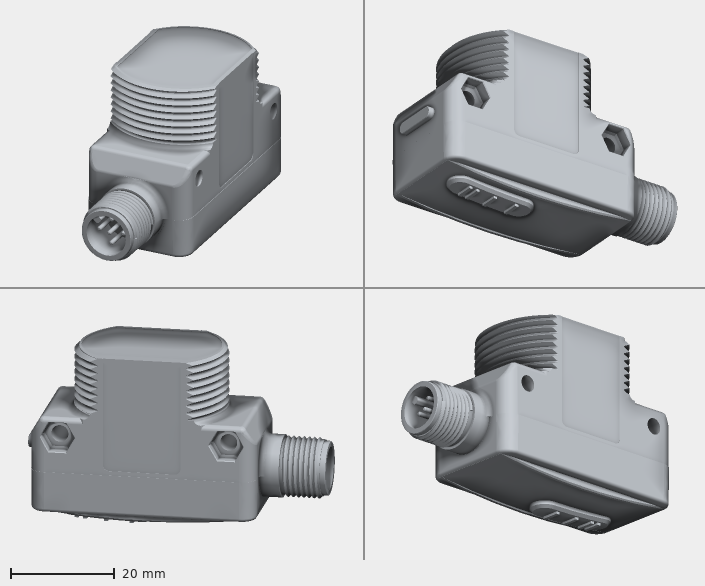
import cadquery as cq
import math


body_length = 44.2
half_length = body_length / 2
housing_width = 22.0
half_width = housing_width / 2
corner_radius = 3.0

shoulder_height = 11.0
slope_foot_height = 7.15
slope_run = 2.2
upper_edge_radius = 1.05

barrel_top = 23.4
barrel_crest = 14.95
barrel_root = 14.0
barrel_thread_length = 12.0
barrel_turns = 8
barrel_pitch = barrel_thread_length / barrel_turns
barrel_thread_start = 11.6
barrel_neck = 15.0
neck_fillet = 1.0
barrel_lead_in = 1.05
lens_radius = 13.55
lens_half_width = 10.0
lens_depth = 0.1

panel_width = 15.1
panel_bottom = 0.9
panel_corner_radius = 1.15
panel_depth = 0.1

hole_spacing = 33.0
hole_height = 7.1
hole_diameter = 3.3
nut_corner_width = 6.75
nut_depth = 2.85
nut_chamfer = 0.2
nut_floor_corner_width = 5.9
nut_floor_bevel = 0.4

button_width = 10.0
button_height = 2.5
button_center_height = 4.0
button_protrusion = 1.2
button_chamfer = 0.1

connector_height = 0.435
collar_radius = 6.1
collar_length = 3.8
collar_fillet = 1.05
connector_crest = 5.95
connector_root = 5.5
connector_thread_length = 7.1
connector_turns = 7
connector_pitch = connector_thread_length / connector_turns
connector_thread_start = 4.2
nose_start = 11.6
nose_radius = 5.3
nose_chamfer = 0.1
connector_length = 12.75
socket_radius = 4.2
socket_depth = 8.7
pin_radius = 0.45
pin_offset = 2.53
center_pin_setback = 1.15
outer_pin_setback = 2.1
pin_chamfer = 0.25
key_width = 1.4
key_inner_radius = 2.8
key_setback = 1.15
key_angle = 45
lip_radius = 6.7
lip_rise = 0.5
lip_depth = 0.95

cover_width = 22.15
cover_draft = 0.6
cover_depth = 8.1
cover_edge_radius = 0.7

bow_half_length = 21.5
bow_half_width = 8.95
bow_sag = 1.5
window_half_width = 8.0
window_sag = 1.15
rail_chamfer = 0.3

pad_x = -3.5
pad_width = 5.8
pad_y_max = 17.55
pad_y_min = -1.6
pad_drop = 1.0
pad_chamfer = 0.6
bar_places = [13.8, 12.1, 8.0, 3.0]
bar_width = 3.8
bar_length = 0.75
bar_height = 0.495

thread_bury = 0.1
embed = 0.3


def thread_ridge(root, crest, pitch, turns):
    """Right-handed triangular ridge around +Z, starting at Z = 0."""
    half_base = 0.48 * pitch
    foot = root - thread_bury
    path = cq.Wire.makeHelix(pitch, pitch * turns, root)
    profile = cq.Workplane("XZ").polyline([(foot, -half_base), (crest, 0), (foot, half_base)]).close()
    return profile.sweep(cq.Workplane(obj=path), isFrenet=True)


def make_shoulders():
    """Lower box of the housing with sloped ends and rounded upper edges."""
    slope_top = half_length - slope_run
    block = (
        cq.Workplane("YZ")
        .moveTo(-half_length, 0)
        .lineTo(-half_length, slope_foot_height)
        .lineTo(-slope_top, shoulder_height)
        .lineTo(slope_top, shoulder_height)
        .lineTo(half_length, slope_foot_height)
        .lineTo(half_length, 0)
        .close()
        .extrude(half_width, both=True)
        .edges("|Z")
        .fillet(corner_radius)
    )
    block = block.faces(">Z").edges("|Y").fillet(upper_edge_radius)
    middle_height = (slope_foot_height + shoulder_height) / 2
    slope_middle = half_length - slope_run / 2
    for side in (-1, 1):
        slope = block.faces(cq.NearestToPointSelector((0, side * slope_middle, middle_height)))
        block = slope.edges().fillet(upper_edge_radius)
    return block


def make_barrel():
    """Threaded barrel with a filleted foot, trimmed by two flats and a recessed lens face."""
    neck_top = shoulder_height + neck_fillet
    foot = barrel_neck + neck_fillet
    bend = neck_fillet * (1 - math.sqrt(0.5))
    core = (
        cq.Workplane("XZ")
        .moveTo(0, 0)
        .lineTo(foot, 0)
        .lineTo(foot, shoulder_height)
        .threePointArc((barrel_neck + bend, shoulder_height + bend), (barrel_neck, neck_top))
        .lineTo(barrel_root, neck_top)
        .lineTo(barrel_root, barrel_top)
        .lineTo(0, barrel_top)
        .close()
        .revolve(360, (0, 0, 0), (0, 1, 0))
    )
    flats = cq.Workplane("XY").rect(housing_width, body_length).extrude(2 * barrel_top, both=True)
    barrel = core.intersect(flats)
    half_turn = thread_ridge(barrel_root, barrel_crest, barrel_pitch, 0.5).intersect(flats)
    for step in range(2 * barrel_turns):
        height = barrel_thread_start + step * barrel_pitch / 2
        barrel = barrel.union(half_turn.rotate((0, 0, 0), (0, 0, 1), 180 * step).translate((0, 0, height)))
    envelope = cq.Workplane("XY").circle(foot).extrude(barrel_top)
    envelope = envelope.faces(">Z").chamfer(barrel_lead_in, foot - barrel_root + 0.05)
    lens_slab = cq.Workplane("XY").rect(2 * lens_half_width, body_length).extrude(lens_depth)
    lens = cq.Workplane("XY").circle(lens_radius).extrude(lens_depth).intersect(lens_slab)
    return barrel.intersect(envelope).cut(lens.translate((0, 0, barrel_top - lens_depth)))


def make_panel(side):
    """Shallow label recess in one flat side of the housing."""
    height = barrel_top - panel_bottom
    panel = (
        cq.Workplane("XY")
        .box(2 * panel_depth, panel_width, height, centered=(True, True, False))
        .edges("|X and <Z")
        .fillet(panel_corner_radius)
    )
    return panel.translate((side * half_width, 0, panel_bottom))


def make_cross_hole(y):
    """Hole along X with a hexagonal nut pocket in the -X side."""
    plane = cq.Workplane("YZ", origin=(-half_width, y, hole_height))
    hole = plane.circle(hole_diameter / 2).extrude(housing_width)
    wall_depth = nut_depth - nut_floor_bevel
    rim = plane.polygon(6, nut_corner_width + 2 * nut_chamfer).workplane(offset=nut_chamfer)
    rim = rim.polygon(6, nut_corner_width).loft()
    walls = plane.polygon(6, nut_corner_width).extrude(wall_depth)
    floor = plane.workplane(offset=wall_depth).polygon(6, nut_corner_width)
    floor = floor.workplane(offset=nut_floor_bevel).polygon(6, nut_floor_corner_width).loft()
    return hole.union(walls).union(rim).union(floor)


def make_button():
    """Stadium-shaped button on the rear wall."""
    plane = cq.Workplane("XZ", origin=(0, half_length + button_protrusion, button_center_height))
    button = plane.slot2D(button_width, button_height).extrude(button_protrusion + embed)
    return button.faces(">Y").chamfer(button_chamfer)


def make_lip():
    """Part of a disc below the seam that fills the notch in the cover wall around the connector."""
    plane = cq.Workplane("XZ", origin=(0, lip_depth - half_length, connector_height + lip_rise))
    below_seam = cq.Workplane("XY").rect(cover_width, 2 * body_length).extrude(-cover_depth)
    return plane.circle(lip_radius).extrude(lip_depth).intersect(below_seam)


def make_collar_fillet():
    """Concave fillet from the front wall to the collar, above the seam and below the slope."""
    bend = collar_fillet * (1 - math.sqrt(0.5))
    flare = (
        cq.Workplane("XY")
        .moveTo(0, -embed)
        .lineTo(collar_radius + collar_fillet, -embed)
        .lineTo(collar_radius + collar_fillet, 0)
        .threePointArc((collar_radius + bend, bend), (collar_radius, collar_fillet))
        .lineTo(0, collar_fillet)
        .close()
        .revolve(360, (0, 0, 0), (0, 1, 0))
        .rotate((0, 0, 0), (1, 0, 0), 180)
        .translate((0, -half_length, connector_height))
    )
    band = cq.Workplane("XY").rect(housing_width, 2 * body_length).extrude(slope_foot_height)
    return flare.intersect(band)


def make_pins(places, floor, tip):
    """Contact pins with chamfered tips, rising from the socket floor."""
    pins = cq.Workplane("XY").workplane(offset=floor - embed).pushPoints(places).circle(pin_radius)
    return pins.extrude(tip - floor + embed).faces(">Z").chamfer(pin_chamfer)


def make_connector():
    """Male round connector, built along +Z and then turned to point along -Y."""
    shell = cq.Workplane("XY").workplane(offset=-embed).circle(collar_radius).extrude(collar_length + embed)
    shell = shell.union(cq.Workplane("XY").circle(connector_root).extrude(nose_start))
    nose = cq.Workplane("XY").circle(nose_radius).extrude(connector_length)
    shell = shell.union(nose.faces(">Z").chamfer(nose_chamfer))
    ridge = thread_ridge(connector_root, connector_crest, connector_pitch, connector_turns)
    shell = shell.union(ridge.translate((0, 0, connector_thread_start)))

    floor = connector_length - socket_depth
    shell = shell.cut(cq.Workplane("XY").workplane(offset=floor).circle(socket_radius).extrude(socket_depth))

    pins = make_pins([(0, 0)], floor, connector_length - center_pin_setback)
    outer_places = [(pin_offset, 0), (-pin_offset, 0), (0, pin_offset), (0, -pin_offset)]
    pins = pins.union(make_pins(outer_places, floor, connector_length - outer_pin_setback))

    key_length = socket_radius + embed - key_inner_radius
    key = (
        cq.Workplane("XY")
        .box(key_length, key_width, socket_depth - key_setback, centered=(False, True, False))
        .edges("|Z and <X")
        .fillet(key_width / 3)
        .translate((key_inner_radius, 0, floor))
        .rotate((0, 0, 0), (0, 0, 1), 180 - key_angle)
    )
    shell = shell.union(pins).union(key)
    return shell.rotate((0, 0, 0), (1, 0, 0), 90).translate((0, -half_length, connector_height))


def make_housing():
    housing = make_shoulders().union(make_barrel())
    for side in (-1, 1):
        housing = housing.cut(make_panel(side))
        housing = housing.cut(make_cross_hole(side * hole_spacing / 2))
    housing = housing.union(make_button()).union(make_lip())
    return housing.union(make_collar_fillet()).union(make_connector())


def bowed_slab(half_slab_width, sag, drop=0):
    """Slab under the cover whose lower face is an arc along Y, deepest at the middle."""
    end_height = -cover_depth - drop
    return (
        cq.Workplane("YZ")
        .moveTo(-bow_half_length, embed - cover_depth)
        .lineTo(-bow_half_length, end_height)
        .threePointArc((0, end_height - sag), (bow_half_length, end_height))
        .lineTo(bow_half_length, embed - cover_depth)
        .close()
        .extrude(half_slab_width, both=True)
    )


def bow_depth(y):
    """How far the bow reaches below the cover at a given Y."""
    radius = (bow_half_length**2 + bow_sag**2) / (2 * bow_sag)
    return bow_sag - radius + math.sqrt(radius**2 - y**2)


def make_rails():
    """Two chamfered rails along the sides of the window."""
    slab = bowed_slab(bow_half_width, bow_sag).faces("<Z").edges("not |X").chamfer(rail_chamfer)
    return slab.cut(bowed_slab(window_half_width, bow_sag))


def make_pad():
    """Control pad under the window, following the bow, with raised bars."""
    pad_depth = bow_sag + pad_drop
    plane = cq.Workplane("XY", origin=(pad_x, (pad_y_max + pad_y_min) / 2, -cover_depth - pad_depth))
    pad = plane.slot2D(pad_y_max - pad_y_min, pad_width, 90).extrude(pad_depth + embed)
    pad = pad.intersect(bowed_slab(half_width, bow_sag, pad_drop)).faces("<Z").chamfer(pad_chamfer)
    for y in bar_places:
        bar_bottom = -cover_depth - pad_drop - bow_depth(y) - bar_height
        bar = cq.Workplane("XY", origin=(pad_x, y, bar_bottom)).rect(bar_width, bar_length)
        pad = pad.union(bar.extrude(bar_height + embed))
    return pad


def make_cover():
    outline = cq.Sketch().rect(cover_width, body_length).vertices().fillet(corner_radius)
    cover = cq.Workplane("XY").placeSketch(outline).extrude(-cover_depth, taper=cover_draft)
    cover = cover.faces("<Z").edges().fillet(cover_edge_radius)
    cover = cover.union(make_rails()).union(bowed_slab(window_half_width, window_sag))
    return cover.union(make_pad()).cut(make_lip())


housing = make_housing()
cover = make_cover()
result = cq.Compound.makeCompound([housing.val(), cover.val()])